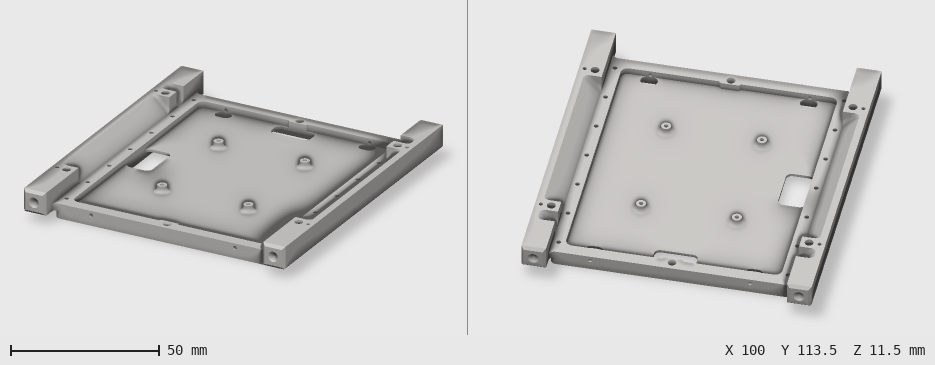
import cadquery as cq
import math

frame_width = 100.0
rail_length = 113.5
frame_height = 11.5
rail_size = 8.5
rail_end_chamfer = 1.0
rail_edge_fillet = 1.0

plate_length = 100.0
plate_height = 5.5
plate_corner_radius = 2.0
web_radius = 2.0

tray_width = 74.5
tray_length = 91.5
tray_corner_radius = 2.5
tray_floor = 3.0
floor_thickness = 1.0
pad_width = 7.5
pad_face_y = 45.0
pad_corner_radius = 1.0

slot_length = 6.0
slot_width = 4.0
slot_x = 27.5
slot_y = 43.75
back_window_width = 15.0
back_window_length = 6.0
side_window_width = 9.5
side_window_length = 16.0
window_radius = 2.0

standoff_x = 16.5
standoff_y = 20.0
standoff_radius = 1.7
standoff_height = 2.5
standoff_flare = 1.7
standoff_bore = 1.5

rim_hole_diameter = 1.6
rim_hole_x = 39.5
rim_hole_pitch = 15.0
rim_hole_steps = 3
pad_hole_y = 47.0
pad_hole_diameter = 1.6
pad_hole_sink = 3.0
pad_hole_sink_depth = 1.7
cross_hole_diameter = 1.5
cross_hole_z = 3.8

rail_bolt_x = 44.4
rail_bolt_diameter = 3.0
rail_pin_x = 48.0
rail_pin_diameter = 1.4
rail_hole_y_positions = (34.0, -36.0)
end_bore_diameter = 3.8
end_bore_depth = 2.0
recess_top_x = 47.5
long_recess_y = (-33.0, 31.5)
short_recess_y = (36.6, 41.6)
recess_fillet = 1.5

rail_x = (frame_width - rail_size) / 2
plate_width = frame_width - 2 * rail_size
rail_bottom = frame_height - rail_size
rail_inner_x = frame_width / 2 - rail_size
rail_axis_z = rail_bottom + rail_size / 2
floor_bottom = tray_floor - floor_thickness

arc_inset = 1 - math.sqrt(0.5)


def cylinder(x, y, z_start, z_end, diameter):
    return cq.Workplane("XY", origin=(x, y, z_start)).circle(diameter / 2).extrude(z_end - z_start)


def rounded_block(x, y, width, length, z_start, z_end, radius):
    block = cq.Workplane("XY", origin=(x, y, z_start)).rect(width, length).extrude(z_end - z_start)
    return block.edges("|Z").fillet(radius)


def make_rail(side):
    """Square bar with chamfered ends and its lower outer edge rounded."""
    outer_face = "<X" if side < 0 else ">X"
    rail = cq.Workplane("XY").box(rail_size, rail_length, rail_size)
    rail = rail.faces("<Y or >Y").chamfer(rail_end_chamfer)
    rail = rail.faces(outer_face).edges("<Z").fillet(rail_edge_fillet)
    return rail.translate((side * rail_x, 0, rail_axis_z))


def make_corner_web(side_x, side_y):
    """Concave corner between a rail and the plate's end face, filling the plate's rounded corner."""
    reach_x = -side_x * web_radius
    reach_y = side_y * web_radius
    return (
        cq.Workplane("XY", origin=(side_x * plate_width / 2, side_y * plate_length / 2, rail_bottom))
        .moveTo(reach_x, 0)
        .threePointArc((reach_x * arc_inset, reach_y * arc_inset), (0, reach_y))
        .lineTo(0, -side_y * plate_corner_radius)
        .lineTo(reach_x, -side_y * plate_corner_radius)
        .close()
        .extrude(plate_height - rail_bottom)
    )


def make_tray():
    tray = rounded_block(0, 0, tray_width, tray_length, tray_floor, plate_height, tray_corner_radius)
    for side in (-1, 1):
        pad = rounded_block(
            0,
            side * (pad_face_y + plate_length / 2) / 2,
            pad_width,
            plate_length / 2 - pad_face_y,
            tray_floor,
            plate_height,
            pad_corner_radius,
        )
        tray = tray.cut(pad)
    return tray


def make_standoff(x, y):
    """Post with a concave flare at its foot."""
    foot_radius = standoff_radius + standoff_flare
    flare_inset = standoff_flare * arc_inset
    return (
        cq.Workplane("XZ")
        .lineTo(foot_radius, 0)
        .threePointArc(
            (standoff_radius + flare_inset, flare_inset),
            (standoff_radius, standoff_flare),
        )
        .lineTo(standoff_radius, standoff_height)
        .lineTo(0, standoff_height)
        .close()
        .revolve(360, (0, 0, 0), (0, 1, 0))
        .translate((x, y, tray_floor))
    )


def make_recess(side, y_start, y_end):
    """Recess with a 45 degree floor, from the plate's top face up to the rail's top face."""
    reach = recess_top_x - rail_inner_x
    rise = frame_height - plate_height
    wedge = (
        cq.Workplane("XZ", origin=(0, y_end, 0))
        .polyline([
            (side * (rail_inner_x - reach), plate_height - rise),
            (side * (recess_top_x + reach), frame_height + rise),
            (side * (rail_inner_x - reach), frame_height + rise),
        ])
        .close()
        .extrude(y_end - y_start)
    )
    floor_normal = cq.Vector(side, 0, -1)
    floor = wedge.faces(cq.selectors.DirectionMinMaxSelector(floor_normal, True))
    wedge = floor.edges("not |Y").fillet(recess_fillet)
    above_plate = (
        cq.Workplane("XY", origin=(side * recess_top_x, 0, plate_height))
        .rect(2 * reach, rail_length)
        .extrude(2 * rise)
    )
    return wedge.intersect(above_plate)


def make_pad_hole(y):
    """Through hole with a conical sink in the plate's top face."""
    sink = (
        cq.Workplane("XY", origin=(0, y, plate_height))
        .circle(pad_hole_sink / 2)
        .workplane(offset=-pad_hole_sink_depth)
        .circle(pad_hole_diameter / 2)
        .loft()
    )
    return cylinder(0, y, 0, plate_height, pad_hole_diameter).union(sink)


def make_end_bore(side_x, side_y):
    """Conical centre bore in the end face of a rail."""
    cone = cq.Solid.makeCone(
        end_bore_diameter / 2,
        0,
        end_bore_depth,
        cq.Vector(side_x * rail_x, side_y * rail_length / 2, rail_axis_z),
        cq.Vector(0, -side_y, 0),
    )
    return cq.Workplane(cone)


def corners(x, y):
    """The four points mirrored about both centre planes."""
    return [(-x, -y), (-x, y), (x, -y), (x, y)]


def make_frame():
    """Plate joined to the two rails, sunk from above and below to leave a thin floor."""
    frame = rounded_block(0, 0, plate_width, plate_length, 0, plate_height, plate_corner_radius)
    for side in (-1, 1):
        frame = frame.union(make_rail(side))
    for side_x, side_y in corners(1, 1):
        frame = frame.union(make_corner_web(side_x, side_y))
    underside = rounded_block(0, 0, tray_width, tray_length, 0, floor_bottom, tray_corner_radius)
    return frame.cut(make_tray()).cut(underside)


def cut_floor_openings(body):
    back_window_y = pad_face_y - back_window_length / 2
    side_window_x = -(tray_width - side_window_width) / 2
    windows = (
        (0, back_window_y, back_window_width, back_window_length),
        (side_window_x, 0, side_window_width, side_window_length),
    )
    for x, y, width, length in windows:
        body = body.cut(rounded_block(x, y, width, length, floor_bottom, tray_floor, window_radius))
    slots = (
        cq.Workplane("XY", origin=(0, 0, floor_bottom))
        .pushPoints(corners(slot_x, slot_y))
        .slot2D(slot_length, slot_width)
        .extrude(floor_thickness)
    )
    return body.cut(slots)


def add_standoffs(body):
    for x, y in corners(standoff_x, standoff_y):
        body = body.union(make_standoff(x, y))
        body = body.cut(cylinder(x, y, floor_bottom, tray_floor + standoff_height, standoff_bore))
    return body


def cut_rim_holes(body):
    for side in (-1, 1):
        for step in range(-rim_hole_steps, rim_hole_steps + 1):
            y = step * rim_hole_pitch
            body = body.cut(cylinder(side * rim_hole_x, y, 0, plate_height, rim_hole_diameter))
        body = body.cut(make_pad_hole(side * pad_hole_y))
    return body


def cut_cross_holes(body):
    """Holes along Y through the end walls of the plate."""
    holes = (
        cq.Workplane("XZ", origin=(0, plate_length / 2, cross_hole_z))
        .pushPoints([(-slot_x, 0), (slot_x, 0)])
        .circle(cross_hole_diameter / 2)
        .extrude(plate_length)
    )
    return body.cut(holes)


def cut_rail_features(body):
    for side in (-1, 1):
        for y_start, y_end in (long_recess_y, short_recess_y):
            body = body.cut(make_recess(side, y_start, y_end))
        for y in rail_hole_y_positions:
            body = body.cut(cylinder(side * rail_bolt_x, y, rail_bottom, frame_height, rail_bolt_diameter))
            body = body.cut(cylinder(side * rail_pin_x, y, rail_bottom, frame_height, rail_pin_diameter))
    for side_x, side_y in corners(1, 1):
        body = body.cut(make_end_bore(side_x, side_y))
    return body


body = make_frame()
body = cut_floor_openings(body)
body = add_standoffs(body)
body = cut_rim_holes(body)
body = cut_cross_holes(body)
body = cut_rail_features(body)

result = body